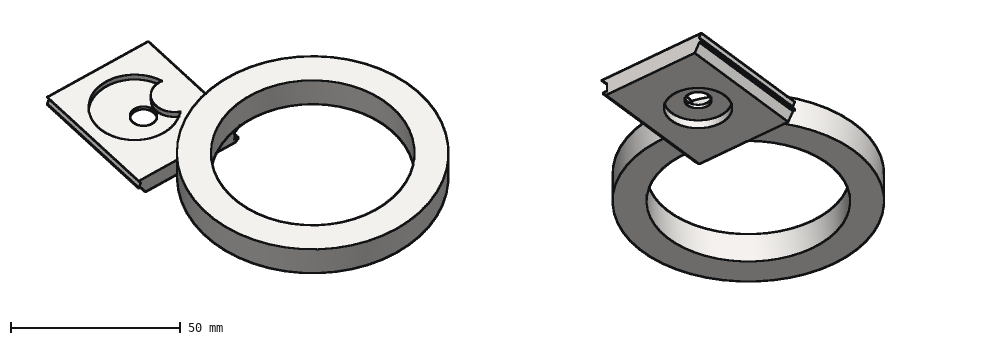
import cadquery as cq

overall_length = 114.0
overall_width = 81.6

ring_outer_diameter = 80.0
ring_inner_diameter = 60.0
ring_height = 10.0
ring_center_x = overall_length - ring_outer_diameter / 2
ring_center_y = overall_width - ring_outer_diameter / 2

plate_length = 44.0
plate_width = 37.7
plate_thickness = 6.2

front_groove_depth = 0.8
front_groove_height = 2.7
front_lip_bottom = 3.1
front_slope_start = 0.7
front_slope_end = 2.5

back_groove_depth = 2.0
back_bevel_height = 2.0
back_groove_bottom = 4.8
back_lip_inset = 0.6
back_lip_bottom = 5.1
back_foot_inset = 1.7

hole_diameter = 8.0

recess_radius = 10.0
web_thickness = 1.3

pocket_depth = 2.0
pocket_radius = 13.6
pocket_center = (19.2, 17.8)
bite_radius = 7.0
bite_center = (22.3, 30.1)


def make_ring():
    return (
        cq.Workplane("XY")
        .center(ring_center_x, ring_center_y)
        .circle(ring_outer_diameter / 2)
        .circle(ring_inner_diameter / 2)
        .extrude(ring_height)
    )


def make_plate_blank():
    """Extrude the grooved edge profile, given as (Y, Z) points, along X."""
    profile = [
        (0, 0),
        (front_groove_depth, -front_groove_height / 2),
        (0, -front_groove_height),
        (0, -front_lip_bottom),
        (front_slope_start, -front_lip_bottom),
        (front_slope_end, -plate_thickness),
        (plate_width - back_foot_inset, -plate_thickness),
        (plate_width - back_lip_inset, -back_lip_bottom),
        (plate_width - back_lip_inset, -back_groove_bottom),
        (plate_width - back_groove_depth, -back_groove_bottom),
        (plate_width - back_groove_depth, -back_bevel_height),
        (plate_width, 0),
    ]
    return cq.Workplane("YZ").polyline(profile).close().extrude(plate_length)


def make_crescent():
    """Volume removed by the crescent pocket."""
    disc = cq.Workplane("XY").center(*pocket_center).circle(pocket_radius).extrude(-pocket_depth)
    bite = cq.Workplane("XY").center(*bite_center).circle(bite_radius).extrude(-pocket_depth)
    return disc.cut(bite)


def make_plate():
    hole = (
        cq.Workplane("XY")
        .center(plate_length / 2, plate_width / 2)
        .circle(hole_diameter / 2)
        .extrude(-plate_thickness)
    )
    recess = (
        cq.Workplane("XY", origin=(0, 0, -plate_thickness))
        .center(plate_length / 2, plate_width / 2)
        .circle(recess_radius)
        .extrude(plate_thickness - pocket_depth - web_thickness)
    )
    return make_plate_blank().cut(make_crescent()).cut(hole).cut(recess)


ring = make_ring()
plate = make_plate()

result = cq.Compound.makeCompound([ring.val(), plate.solids().val()])